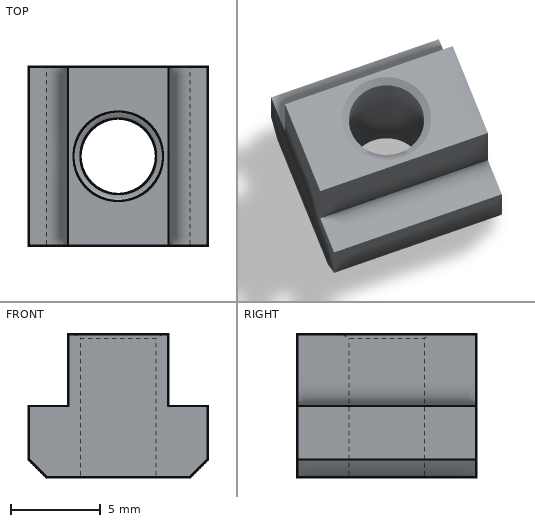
import cadquery as cq
import math

width = 10.0
length = 10.0
height = 8.0

flange_height = 4.0
stem_width = 5.6
bottom_chamfer = 1.0

hole_diameter = 4.2
countersink_diameter = 5.0
countersink_angle = 120.0


def make_flange():
    """Wide base with its two lower long edges chamfered."""
    flange = cq.Workplane("XY").box(width, length, flange_height, centered=(True, True, False))
    return flange.faces("<Z").edges("|Y").chamfer(bottom_chamfer)


def make_stem():
    """Narrow block that rises through the full height of the nut."""
    return cq.Workplane("XY").box(stem_width, length, height, centered=(True, True, False))


def make_hole():
    """Through hole and the cone that opens it at the top face."""
    hole_radius = hole_diameter / 2
    mouth_radius = countersink_diameter / 2
    mouth_depth = (mouth_radius - hole_radius) / math.tan(math.radians(countersink_angle / 2))
    bore = cq.Workplane("XY").circle(hole_radius).extrude(height)
    mouth = cq.Solid.makeCone(
        hole_radius, mouth_radius, mouth_depth, pnt=cq.Vector(0, 0, height - mouth_depth)
    )
    return bore.union(cq.Workplane(obj=mouth))


result = make_flange().union(make_stem()).cut(make_hole())